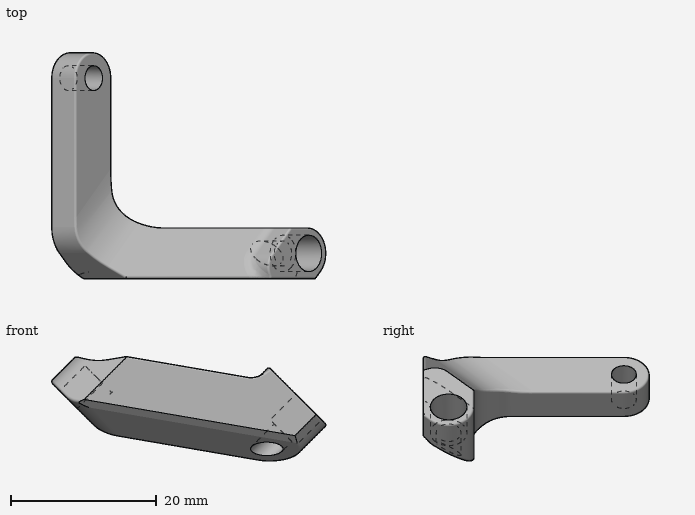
import cadquery as cq
import math


ROOT_2 = math.sqrt(2)

arm_width = 7.0
eye_radius = arm_width / 2
overall_length_v = 31.04
eye_1_u = eye_radius
eye_1_v = overall_length_v - eye_radius
eye_2_u = 27.5
eye_2_v = eye_radius

hole_diameter = 3.4
counterbore_diameter = 5.0
counterbore_depth = 5.0

corner_cut = 5.0
outer_corner_radius = 5.0
inner_corner_radius = 5.0

plate_thickness = 4.9
upper_fold_s = -1.7
lower_fold_s = 2.5
upper_fold_radius = 10.0
lower_fold_radius = 5.0

seat_level = 22.6
seat_wall_s = 12.1
seat_corner_radius = 2.5
seat_side_v = -0.9
seat_foot_radius = 2.0

lower_edge_radius = 0.4
upper_edge_radius = 0.3
long_chamfer = 1.0

tilt_degrees = 45.0

stock = 60.0
probe = 0.1
contact = 1e-4


def near(u, v, n_low, n_high):
    """Selector for whatever is centred close to (u, v) between two levels."""
    return cq.selectors.BoxSelector(
        (u - probe, v - probe, n_low - probe), (u + probe, v + probe, n_high + probe)
    )


def on_fold(s, n):
    """Selector for a line along the fold."""
    return near(s / ROOT_2, -s / ROOT_2, n, n)


def outline_prism():
    """L-shaped outline with round ends, its outer corners cut at 45 degrees."""
    half_chord = eye_radius / ROOT_2
    facet_u = eye_2_u + ROOT_2 * eye_radius - eye_radius
    prism = (
        cq.Workplane("XY")
        .moveTo(0, corner_cut)
        .lineTo(0, eye_1_v)
        .threePointArc((eye_1_u, eye_1_v + eye_radius), (arm_width, eye_1_v))
        .lineTo(arm_width, arm_width)
        .lineTo(eye_2_u, arm_width)
        .threePointArc(
            (eye_2_u + eye_radius, eye_2_v),
            (eye_2_u + half_chord, eye_2_v - half_chord),
        )
        .lineTo(facet_u, 0)
        .lineTo(corner_cut, 0)
        .close()
        .extrude(stock)
    )
    prism = prism.edges(near(0, corner_cut, 0, stock)).fillet(outer_corner_radius)
    return prism.edges(near(arm_width, arm_width, 0, stock)).fillet(inner_corner_radius)


def extrude_along_fold(points):
    """Prism along the fold line from a profile of (s, n) points."""
    across_fold = cq.Plane(origin=(0, 0, 0), xDir=(1, -1, 0), normal=(-1, -1, 0))
    return cq.Workplane(across_fold).polyline(points).close().extrude(stock, both=True)


def folded_slab():
    """Flat plate running into the ramp, with rounded folds on both faces."""
    slab = extrude_along_fold([
        (-stock, 0),
        (lower_fold_s, 0),
        (stock, stock - lower_fold_s),
        (stock, stock - upper_fold_s + plate_thickness),
        (upper_fold_s, plate_thickness),
        (-stock, plate_thickness),
    ])
    slab = slab.edges(on_fold(upper_fold_s, plate_thickness)).fillet(upper_fold_radius)
    return slab.edges(on_fold(lower_fold_s, 0)).fillet(lower_fold_radius)


def slab_with_seat():
    """Folded slab with the seat standing on its ramp and a rounded foot between them."""
    corner_u = seat_side_v + seat_wall_s * ROOT_2
    seat = (
        cq.Workplane("XY")
        .moveTo(corner_u, seat_side_v)
        .lineTo(corner_u + stock, seat_side_v)
        .lineTo(corner_u + stock, seat_side_v + stock)
        .close()
        .extrude(stock)
        .edges(near(corner_u, seat_side_v, 0, stock))
        .fillet(seat_corner_radius)
    )
    above_ramp = extrude_along_fold([
        (0, -lower_fold_s),
        (stock, stock - lower_fold_s),
        (stock, 2 * stock),
        (0, 2 * stock),
    ])
    body = folded_slab().union(seat.intersect(above_ramp))
    around_seat = cq.selectors.BoxSelector(
        (corner_u, seat_side_v - probe, 0), (stock, stock, stock)
    )
    foot = body.edges(around_seat).filter(lambda edge: is_on_ramp(edge.positionAt(0.5)))
    return foot.fillet(seat_foot_radius)


def is_on_ramp(point):
    """Whether a point lies on the upper face of the ramp."""
    s = (point.x - point.y) / ROOT_2
    ramp_level = s - upper_fold_s + plate_thickness
    return abs(point.z - ramp_level) < probe


def round_rim(body, outline):
    """Round the edges where the outline walls meet the lower and upper faces."""
    walls = outline.faces("not |Z").vals()

    def is_rim(edge):
        vertex = cq.Vertex.makeVertex(*edge.positionAt(0.5).toTuple())
        lies_on_wall = min(vertex.distance(wall) for wall in walls) < contact
        is_upright = abs(edge.tangentAt(0.5).z) > 1 - contact
        return lies_on_wall and not is_upright

    lower_faces = body.faces().filter(lambda face: face.normalAt().z < -probe)
    body = lower_faces.edges().filter(is_rim).fillet(lower_edge_radius)

    upper_faces = body.faces().filter(lambda face: face.normalAt().z > probe)
    upper_rim = upper_faces.edges().filter(is_rim)
    seat_rim = body.faces(">Z").edges()
    return upper_rim.add(seat_rim.vals()).fillet(upper_edge_radius)


def chamfer_long_edge(body):
    """Cut the lower long edge of the second arm at 45 degrees to its flat side."""
    arm_direction = cq.Vector(1, 0, 1 / ROOT_2)
    chamfer_drop = arm_direction.Length
    ramp_drop = 1 / ROOT_2
    start_n = long_chamfer * (chamfer_drop - ramp_drop) - lower_fold_s
    across_arm = cq.Plane(origin=(0, 0, start_n), xDir=(0, 1, 0), normal=arm_direction)
    wedge = (
        cq.Workplane(across_arm)
        .polyline([(-stock, stock), (stock, -stock), (-stock, -stock)])
        .close()
        .extrude(stock)
    )
    return body.cut(wedge)


def drill_eyes(body):
    """Holes through both eyes, with a counterbore below the seat."""
    holes = (
        cq.Workplane("XY")
        .pushPoints([(eye_1_u, eye_1_v), (eye_2_u, eye_2_v)])
        .circle(hole_diameter / 2)
        .extrude(stock)
    )
    counterbore = (
        cq.Workplane("XY", origin=(eye_2_u, eye_2_v, seat_level - counterbore_depth))
        .circle(counterbore_diameter / 2)
        .extrude(counterbore_depth)
    )
    return body.cut(holes).cut(counterbore)


outline = outline_prism()
below_seat_level = cq.Workplane("XY").box(
    4 * stock, 4 * stock, seat_level, centered=(True, True, False)
)
body = slab_with_seat().intersect(below_seat_level).intersect(outline)
body = round_rim(body, outline)
body = chamfer_long_edge(body)
body = drill_eyes(body)
result = body.rotate((0, 0, 0), (0, 1, 0), tilt_degrees)